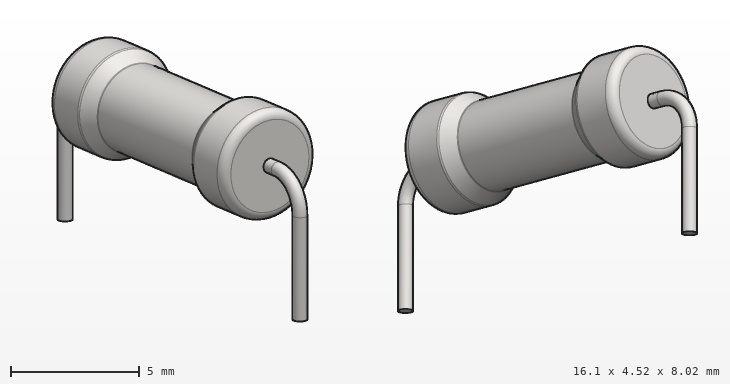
import cadquery as cq

overall_length = 16.1
overall_height = 8.02
body_length = 11.51
cap_diameter = 4.52
barrel_diameter = 3.64
end_rounding = 0.39
shoulder_start = 3.78
shoulder_end = 3.12
crown_rounding = 0.16
root_rounding = 0.06

lead_diameter = 0.6
lead_bend_radius = 1.5

cap_radius = cap_diameter / 2
barrel_radius = barrel_diameter / 2
lead_radius = lead_diameter / 2
half_body = body_length / 2
lead_x = overall_length / 2 - lead_radius
lead_drop = overall_height - cap_radius


def round_ring(body, ring_x, ring_radius, rounding):
    """Round the circular edge of the given radius at ring_x."""
    margin = 0.002
    reach = ring_radius + margin
    ring = cq.selectors.BoxSelector(
        (ring_x - margin, -reach, -reach),
        (ring_x + margin, reach, reach),
    )
    return body.edges("%CIRCLE").edges(ring).fillet(rounding)


def make_body():
    """Barrel with a larger rounded cap at each end, revolved about X."""
    profile = (
        cq.Workplane("XZ")
        .moveTo(-half_body, 0)
        .lineTo(-half_body, cap_radius)
        .lineTo(-shoulder_start, cap_radius)
        .lineTo(-shoulder_end, barrel_radius)
        .lineTo(shoulder_end, barrel_radius)
        .lineTo(shoulder_start, cap_radius)
        .lineTo(half_body, cap_radius)
        .lineTo(half_body, 0)
        .close()
    )
    body = profile.revolve(360, (0, 0, 0), (1, 0, 0))
    for side in (-1, 1):
        for edge_x, edge_radius, rounding in (
            (half_body, cap_radius, end_rounding),
            (shoulder_start, cap_radius, crown_rounding),
            (shoulder_end, barrel_radius, root_rounding),
        ):
            body = round_ring(body, side * edge_x, edge_radius, rounding)
    return body


def make_lead():
    """Lead on the -X side, swept from the body axis round the bend to its tip."""
    path = (
        cq.Workplane("XZ")
        .lineTo(-lead_x + lead_bend_radius, 0)
        .radiusArc((-lead_x, -lead_bend_radius), -lead_bend_radius)
        .lineTo(-lead_x, -lead_drop)
    )
    return cq.Workplane("YZ").circle(lead_radius).sweep(path)


lead = make_lead()
result = make_body().union(lead).union(lead.mirror("YZ"))